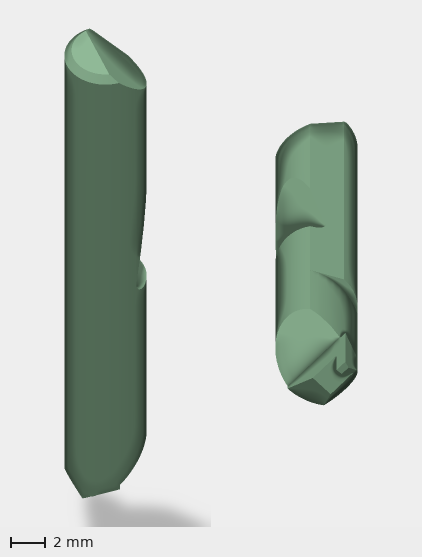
import cadquery as cq
import math

length = 38.1
diameter = 4.75
radius = diameter / 2
rim_chamfer = 0.42
overshoot = 1.9
cutter_width = 4 * diameter

flat_normal_angle = 152
flat_distance = 2.153

top_slope_start_y = -0.5
bottom_slope_z = 4.72

notch_bottom_z = 19.62
notch_top_z = 28.45
notch_depth = 1.25
notch_fillet = 0.85
notch_slope_end_z = 20.65

recess_bottom_z = 4.55
recess_top_z = 12.73
recess_radius = 4.0
recess_floor_x = -1.9

tip_width = 0.72
tip_shoulder_z = 2.3
tip_fillet = 0.2
shoulder_end_x = 0.3
clearance_y = -1.65
nose_y = -0.42
nose_z = 0.1
nose_bevel_top_z = 4.25


def side_profile_cutter(points):
    """Prism along X from (y, z) points."""
    return cq.Workplane("YZ").polyline(points).close().extrude(cutter_width / 2, both=True)


def front_profile_cutter(points):
    """Prism along Y from (x, z) points."""
    return cq.Workplane("XZ").polyline(points).close().extrude(cutter_width / 2, both=True)


def shank():
    return cq.Workplane("XY").circle(radius).extrude(length).faces(">Z").chamfer(rim_chamfer)


def long_flat():
    depth = 2 * radius
    block = cq.Workplane("XY").box(depth, cutter_width, length, centered=(False, True, False))
    return block.translate((flat_distance, 0, 0)).rotate((0, 0, 0), (0, 0, 1), flat_normal_angle)


def top_slope():
    outer_y = radius + overshoot
    drop = outer_y - top_slope_start_y
    return side_profile_cutter([(top_slope_start_y, length), (outer_y, length), (outer_y, length - drop)])


def rake_face_and_bottom_slope():
    outer_y = radius + overshoot
    return side_profile_cutter([(0, 0), (outer_y, 0), (outer_y, bottom_slope_z + outer_y), (0, bottom_slope_z)])


def clamping_notch():
    floor_y = radius - notch_depth
    slope = notch_depth / (notch_top_z - notch_slope_end_z)
    inner_y = floor_y - slope * (notch_slope_end_z - notch_bottom_z)
    outer_y = radius + overshoot
    outer_z = notch_top_z + overshoot / slope
    profile = [(inner_y, notch_bottom_z), (outer_y, notch_bottom_z), (outer_y, outer_z)]
    return side_profile_cutter(profile).edges("<Y").fillet(notch_fillet)


def side_recess():
    height = recess_top_z - recess_bottom_z
    ring = cq.Workplane("XY", origin=(recess_floor_x + recess_radius, 0, recess_bottom_z))
    ring = ring.circle(recess_radius + diameter).circle(recess_radius).extrude(height)
    left_half = cq.Workplane("XY").box(diameter, cutter_width, length, centered=(False, True, False))
    return ring.intersect(left_half.translate((-diameter, 0, 0)))


def tip_shoulder():
    tip_x = tip_width - radius
    outer_x = radius + overshoot
    slope_end_z = tip_shoulder_z + outer_x - shoulder_end_x
    profile = [(tip_x, 0), (outer_x, 0), (outer_x, slope_end_z), (shoulder_end_x, tip_shoulder_z),
               (tip_x, tip_shoulder_z)]
    corner = cq.selectors.NearestToPointSelector((tip_x, 0, tip_shoulder_z))
    return front_profile_cutter(profile).edges("|Y").edges(corner).fillet(tip_fillet)


def tip_clearance():
    """Vertical plane from the cutting edge to the circle, below the recess."""
    end_x = -math.sqrt(radius**2 - clearance_y**2)
    profile = [(-radius, 0), (end_x, clearance_y), (-radius, clearance_y - overshoot), (-diameter, 0)]
    return cq.Workplane("XY").polyline(profile).close().extrude(recess_bottom_z)


def nose_bevel():
    """Steep front bevel ending in a slightly relieved tip."""
    slope = (nose_bevel_top_z - nose_z) / (radius + nose_y)
    outer_y = -radius - overshoot
    outer_z = nose_bevel_top_z + slope * overshoot
    return side_profile_cutter([(0, 0), (nose_y, nose_z), (outer_y, outer_z), (outer_y, 0)])


result = (
    shank()
    .cut(long_flat())
    .cut(top_slope())
    .cut(rake_face_and_bottom_slope())
    .cut(clamping_notch())
    .cut(side_recess())
    .cut(tip_shoulder())
    .cut(tip_clearance())
    .cut(nose_bevel())
)